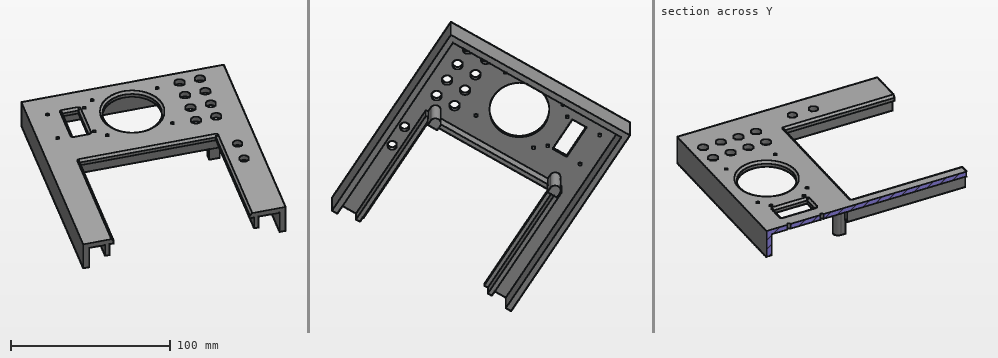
import cadquery as cq


LENGTH = 142.5
WIDTH = 132.2
BODY_HEIGHT = 20.0
PLATE_THICKNESS = 4.0
WALL_THICKNESS = 4.0
EDGE_CHAMFER = 1.5
CHAMFER_ANGLE = 45
PLATE_BOTTOM = BODY_HEIGHT - PLATE_THICKNESS

OPENING_LEFT = 64.3
OPENING_FRONT = 20.0
OPENING_BACK = 108.9

RIB_SETBACK = 2.7
RIB_THICKNESS = 3.0
RIB_HEIGHT = 9.0

POST_DIAMETER = 7.0
POST_DROP = 4.0
POST_X = 55.6
POST_YS = (21.1, 109.5)

CONTROL_AXIS_X = 27.8

BUTTON_DIAMETER = 6.5
BUTTON_PITCH_X = 12.5
BUTTON_PITCH_Y = 13.3
BUTTON_COLUMNS = 4
BUTTON_ROWS = 2
BUTTON_GRID_CENTER = (CONTROL_AXIS_X, 107.5)
PAIR_DIAMETER = 6.0
PAIR_PITCH = 15.0
PAIR_CENTER = (83.0, 119.8)

SCREW_DIAMETER = 2.0
ROUND_DIAMETER = 37.5
ROUND_CENTER = (CONTROL_AXIS_X, 64.5)
ROUND_SCREW_SPACING = (35.0, 42.5)
SLOT_SIZE = (23.8, 10.4)
SLOT_CENTER = (CONTROL_AXIS_X, 27.5)
SLOT_SCREW_SPACING = (23.5, 24.0)
SLOT_SCREW_CENTER = (CONTROL_AXIS_X, 24.5)


def box(x_min, x_max, y_min, y_max, z_min, z_max):
    size = (x_max - x_min, y_max - y_min, z_max - z_min)
    return cq.Workplane("XY").box(*size, centered=False).translate((x_min, y_min, z_min))


def rib_outline(setback, z_min, z_max):
    """Block over the opening, grown by a setback on its three closed sides."""
    return box(
        OPENING_LEFT - setback, LENGTH, OPENING_FRONT - setback, OPENING_BACK + setback, z_min, z_max
    )


def hole_grid(center, spacing, counts, diameter):
    """Round holes through the plate on a rectangular grid."""
    return (
        cq.Workplane("XY", origin=(*center, PLATE_BOTTOM))
        .rarray(*spacing, *counts)
        .circle(diameter / 2)
        .extrude(PLATE_THICKNESS)
    )


def shell():
    """Top plate with outer walls on -X, -Y and +Y, open on +X and below."""
    cavity = box(
        WALL_THICKNESS, LENGTH, WALL_THICKNESS, WIDTH - WALL_THICKNESS, 0, PLATE_BOTTOM
    )
    return box(0, LENGTH, 0, WIDTH, 0, BODY_HEIGHT).cut(cavity)


def rib():
    """U-shaped rib that follows the opening under the plate."""
    bottom = PLATE_BOTTOM - RIB_HEIGHT
    outside = rib_outline(RIB_SETBACK + RIB_THICKNESS, bottom, PLATE_BOTTOM)
    return outside.cut(rib_outline(RIB_SETBACK, bottom, PLATE_BOTTOM))


def post(y):
    """Post from the plate to below the rim, half round towards -X."""
    radius = POST_DIAMETER / 2
    return (
        cq.Workplane("XY", origin=(POST_X, y, -POST_DROP))
        .moveTo(0, radius)
        .threePointArc((-radius, 0), (0, -radius))
        .lineTo(radius, -radius)
        .lineTo(radius, radius)
        .close()
        .extrude(PLATE_BOTTOM + POST_DROP)
    )


def chamfered_window(outline):
    """Cutter through the plate from a 2D outline, flared at the top face."""
    flare_base = cq.Workplane("XY", origin=(0, 0, PLATE_THICKNESS - EDGE_CHAMFER))
    straight = outline(cq.Workplane("XY")).extrude(PLATE_THICKNESS)
    flare = outline(flare_base).extrude(EDGE_CHAMFER, taper=-CHAMFER_ANGLE)
    return straight.union(flare).translate((0, 0, PLATE_BOTTOM))


def opening():
    """Opening with a chamfered top edge on its three closed sides."""
    length = LENGTH - OPENING_LEFT + 2 * EDGE_CHAMFER
    width = OPENING_BACK - OPENING_FRONT
    center = (OPENING_LEFT + length / 2, OPENING_FRONT + width / 2)
    return chamfered_window(lambda plane: plane.center(*center).rect(length, width))


def round_window():
    return chamfered_window(lambda plane: plane.center(*ROUND_CENTER).circle(ROUND_DIAMETER / 2))


def slot_window():
    return chamfered_window(lambda plane: plane.center(*SLOT_CENTER).rect(*SLOT_SIZE))


def button_grid():
    pitch = (BUTTON_PITCH_X, BUTTON_PITCH_Y)
    return hole_grid(BUTTON_GRID_CENTER, pitch, (BUTTON_COLUMNS, BUTTON_ROWS), BUTTON_DIAMETER)


def button_pair():
    return hole_grid(PAIR_CENTER, (PAIR_PITCH, PAIR_PITCH), (2, 1), PAIR_DIAMETER)


def screw_holes(center, spacing):
    return hole_grid(center, spacing, (2, 2), SCREW_DIAMETER)


result = shell().union(rib())
for post_y in POST_YS:
    result = result.union(post(post_y))

for cutter in (
    opening(),
    round_window(),
    slot_window(),
    button_grid(),
    button_pair(),
    screw_holes(ROUND_CENTER, ROUND_SCREW_SPACING),
    screw_holes(SLOT_SCREW_CENTER, SLOT_SCREW_SPACING),
):
    result = result.cut(cutter)